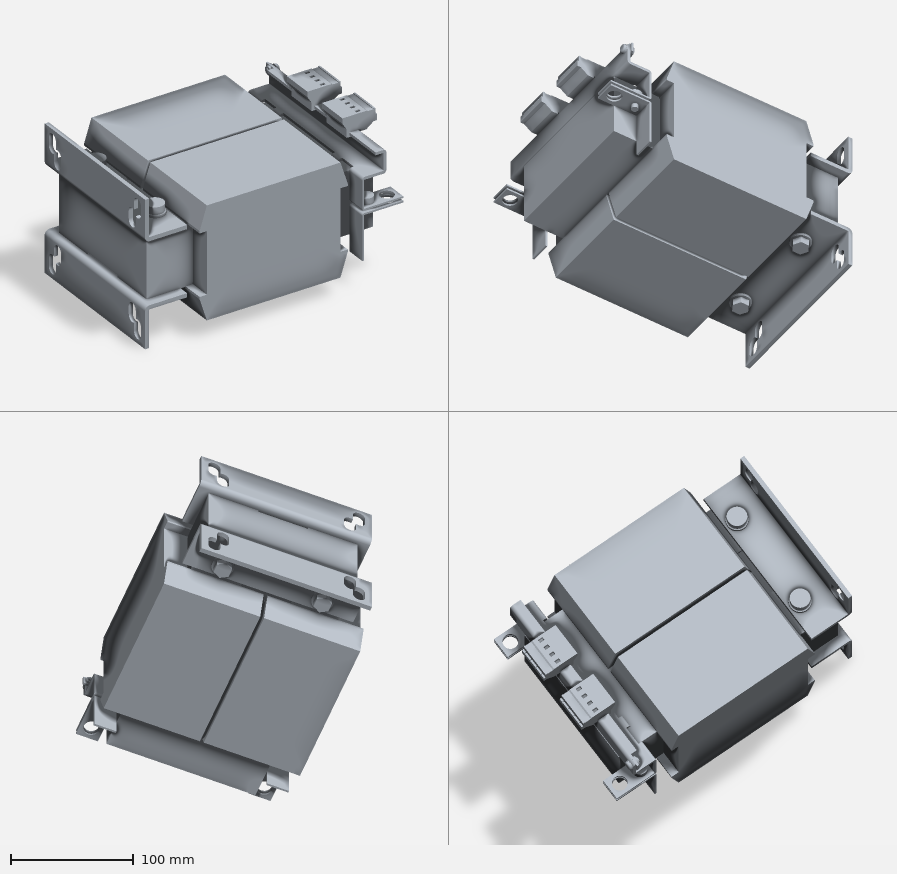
import cadquery as cq


coil_half_width = 86.4
coil_half_gap = 1.7
coil_half_height = 54.0
coil_half_length = 65.0
flange_half_length = 72.0
flange_bottom = 29.8
flange_edge = 2.2

core_half_width = 65.6
core_half_length = 110.0
core_half_height = 28.0
yoke_inner = 65.6
leg_width = 2 * core_half_width / 3
pad_thickness = 2.0
clamp_height = core_half_height + pad_thickness

angle_half_width = 75.2
angle_front = -117.5
angle_back = -76.9
angle_top = 70.0
angle_sheet = 4.0
angle_bend = 4.5
slot_width = 10.5
slot_length = 18.3
outer_slot = (63.7, 56.5)
inner_slot = (55.9, 44.7)

clamp_bolt_x = 44.0
clamp_bolt_y = -87.8
clamp_washer = (18.5, 2.5)
clamp_spring_ring = (16.0, 1.7)
clamp_head = (16.8, 5.5)
clamp_nut = (15.1, 6.0)

rail_half_width = 85.6
rail_back = core_half_length
rail_sheet = 2.7
rail_bottom = clamp_height
rail_top = 52.2
rail_front = 90.8
rail_lip_front = 99.5
rail_lip_left = -76.1
rail_bend = 3.2
rail_front_bend = 3.0
bend_tab_x = 44.0
bend_tab_width = 10.7

lug_sheet = 1.7
lug_front = 86.5
lug_back = 126.5
lug_half_gap = 1.2
lug_inner_x = 66.4
lug_bottom = -45.6
lug_bend = 2.0
lug_hole_x = 76.1
lug_hole_y = 116.6
lug_hole_diameter = 13.0
lug_bolt_y = 96.6
lug_bolt_diameter = 6.0
lug_bolt_bottom = -7.3
lug_head_diameter = 13.0
lug_head_top = 9.0

earth_x = -81.7
earth_z = 47.8
earth_plate = (11.7, 9.0)
earth_plate_thickness = 2.0
earth_nut = (8.3, 2.0)
earth_shank = (4.5, 5.1)
earth_washer = (8.3, 0.7)
earth_head = (7.8, 2.5)
earth_head_rounding = 1.5

terminal_x = (-21.2, 31.2)
terminal_width = 30.5
terminal_top = 67.5
ledge_back = 126.5
ledge_top = 61.7
ledge_depth = 1.7
ledge_bottom = 55.6
marker_back = 123.0
marker_front = 117.4
marker_slope_front = 116.1
marker_floor = 66.9
nose_front = 92.7
nose_bottom = 62.5
foot_front = 96.9
foot_top = 55.9
hook_back = 103.0
hook_bottom = 48.0
heel_back = 116.0
heel_bottom = 50.3
poles_per_block = 4
window_spacing = 7.5
window_width = 3.0
window_length = 4.5
window_depth = 2.5
window_y = 109.8
notch_width = 1.0
notch_depth = 1.2


def box(x_range, y_range, z_range):
    """Box between the two ends given along each axis."""
    x0, x1 = x_range
    y0, y1 = y_range
    z0, z1 = z_range
    return cq.Workplane("XY").box(x1 - x0, y1 - y0, z1 - z0, centered=False).translate((x0, y0, z0))


def side_profile(points, x0, x1):
    """Closed (Y, Z) outline extruded from x0 to x1."""
    return cq.Workplane("YZ").polyline(points).close().extrude(x1 - x0).translate((x0, 0, 0))


def disc(x, y, z, diameter, height):
    """Upright cylinder standing on height z."""
    return cq.Workplane("XY").center(x, y).circle(diameter / 2).extrude(height).translate((0, 0, z))


def mirrored(shape, plane):
    """Shape joined with its mirror image."""
    return shape.union(shape.mirror(plane))


def coils():
    """Two coils with flared end flanges, mirrored from a quarter section."""
    quarter = [
        (coil_half_length, 0),
        (coil_half_length, flange_bottom),
        (flange_half_length, flange_bottom),
        (flange_half_length, flange_bottom + flange_edge),
        (coil_half_length, coil_half_height),
    ]
    back = quarter + [(0, coil_half_height), (0, 0)]
    section = side_profile(back, coil_half_gap, coil_half_width)
    return mirrored(mirrored(mirrored(section, "XZ"), "XY"), "YZ")


def core():
    """Two yokes and two legs; pads fill the back yoke and the outer thirds of the front yoke."""
    wide = (-core_half_width, core_half_width)
    right_third = (core_half_width - leg_width, core_half_width)
    tall = (-core_half_height, core_half_height)
    back = (yoke_inner, core_half_length)
    front = (-core_half_length, -yoke_inner)
    padded = (-clamp_height, clamp_height)
    back_yoke = box(wide, back, padded)
    front_yoke = box(wide, front, tall)
    leg = box(right_third, (-yoke_inner, yoke_inner), tall)
    front_pads = box(right_third, front, padded)
    return back_yoke.union(front_yoke).union(mirrored(leg.union(front_pads), "YZ"))


def slot_cutter(x, z):
    """Upright slot through the angle's mounting face."""
    return (
        cq.Workplane("XZ", origin=(x, angle_front, z))
        .slot2D(slot_length, slot_width, 90)
        .extrude(2 * angle_sheet, both=True)
    )


def front_angle():
    """Upper L-shaped angle with a pair of overlapping slots near each end."""
    outline = [
        (angle_back, clamp_height),
        (angle_front, clamp_height),
        (angle_front, angle_top),
        (angle_front + angle_sheet, angle_top),
        (angle_front + angle_sheet, clamp_height + angle_sheet),
        (angle_back, clamp_height + angle_sheet),
    ]
    angle = side_profile(outline, -angle_half_width, angle_half_width)
    angle = angle.edges("|X and <Y and <Z").fillet(angle_bend)
    inner_corner = (0, angle_front + angle_sheet, clamp_height + angle_sheet)
    angle = angle.edges(cq.NearestToPointSelector(inner_corner)).fillet(angle_bend - angle_sheet)
    for side in (-1, 1):
        for x, z in (outer_slot, inner_slot):
            angle = angle.cut(slot_cutter(side * x, z))
    return angle


def bolt_stack(x):
    """Washer, spring ring and head above the upper angle; washer, ring and nut below the lower."""
    seat = clamp_height + angle_sheet
    ring_seat = seat + clamp_washer[1]
    end_seat = ring_seat + clamp_spring_ring[1]
    washer = disc(x, clamp_bolt_y, seat, *clamp_washer)
    ring = disc(x, clamp_bolt_y, ring_seat, *clamp_spring_ring)
    washers = washer.union(ring)
    head = disc(x, clamp_bolt_y, end_seat, *clamp_head)
    nut_size, nut_height = clamp_nut
    nut = (
        cq.Workplane("XY", origin=(x, clamp_bolt_y, -ring_seat))
        .transformed(rotate=(0, 0, 90))
        .polygon(6, nut_size)
        .extrude(-nut_height)
    )
    return head.union(washers).union(washer.mirror("XY")).union(nut)


def rail():
    """Bent terminal rail with a top lip and two short bends on its front edge."""
    outline = [
        (rail_front, rail_bottom),
        (rail_back, rail_bottom),
        (rail_back, rail_top),
        (rail_lip_front, rail_top),
        (rail_lip_front, rail_top - rail_sheet),
        (rail_back - rail_sheet, rail_top - rail_sheet),
        (rail_back - rail_sheet, rail_bottom + rail_sheet),
        (rail_front, rail_bottom + rail_sheet),
    ]
    body = side_profile(outline, -rail_half_width, rail_half_width)
    body = body.edges("|X and >Y").fillet(rail_bend)
    inner_corner = (0, rail_back - rail_sheet, rail_bottom + rail_sheet)
    body = body.edges(cq.NearestToPointSelector(inner_corner)).fillet(rail_bend - rail_sheet)
    lip_cut = box(
        (-rail_half_width, rail_lip_left),
        (rail_lip_front, rail_back - rail_sheet),
        (rail_top - rail_sheet, rail_top),
    )
    body = body.cut(lip_cut)
    tab = box(
        (bend_tab_x - bend_tab_width / 2, bend_tab_x + bend_tab_width / 2),
        (lug_front, rail_front),
        (core_half_height, rail_bottom + rail_sheet),
    )
    tab = tab.edges("|X and <Y and >Z").fillet(rail_front_bend)
    return body.union(mirrored(tab, "YZ"))


def lug(end_z, level):
    """Upright plate reaching end_z, bent into a flat tab that faces the mid-plane at level."""
    flat_z = level + lug_sheet if level > 0 else level - lug_sheet
    outline = [
        (lug_front, end_z),
        (lug_front, level),
        (lug_back, level),
        (lug_back, flat_z),
        (lug_front + lug_sheet, flat_z),
        (lug_front + lug_sheet, end_z),
    ]
    plate = side_profile(outline, lug_inner_x, rail_half_width)
    bend_edge = "|X and <Y and <Z" if level > 0 else "|X and <Y and >Z"
    plate = plate.edges(bend_edge).fillet(lug_bend)
    hole = disc(lug_hole_x, lug_hole_y, level - lug_sheet, lug_hole_diameter, 2 * lug_sheet)
    return plate.cut(hole)


def lugs():
    """Upper and lower lugs on both sides, bolted together through their tabs."""
    sheet_top = rail_bottom + rail_sheet
    rail_joint = box(
        (lug_inner_x, rail_half_width),
        (lug_front, rail_front),
        (rail_bottom, sheet_top),
    )
    upper = lug(sheet_top, lug_half_gap).union(rail_joint)
    upper = upper.edges("|X and <Y and >Z").fillet(rail_front_bend)
    lower = lug(lug_bottom, -lug_half_gap)
    head_seat = lug_half_gap + lug_sheet
    shank = disc(lug_hole_x, lug_bolt_y, lug_bolt_bottom, lug_bolt_diameter, head_seat - lug_bolt_bottom)
    head = disc(lug_hole_x, lug_bolt_y, head_seat, lug_head_diameter, lug_head_top - head_seat)
    return mirrored(upper.union(lower).union(shank).union(head), "YZ")


def earth_screw():
    """Screw through the rail: square plate and nut in front, washer and domed head behind."""
    front_face = rail_back - rail_sheet
    plane = cq.Workplane("XZ", origin=(earth_x, front_face, earth_z))
    plate = plane.rect(*earth_plate).extrude(earth_plate_thickness)
    nut_diameter, nut_height = earth_nut
    nut = plane.circle(nut_diameter / 2).extrude(earth_plate_thickness + nut_height)
    shank_diameter, shank_length = earth_shank
    shank = plane.circle(shank_diameter / 2).extrude(shank_length)
    washer_diameter, washer_height = earth_washer
    back_plane = cq.Workplane("XZ", origin=(earth_x, rail_back, earth_z))
    washer = back_plane.circle(washer_diameter / 2).extrude(-washer_height)
    head_diameter, head_height = earth_head
    head = back_plane.circle(head_diameter / 2).extrude(-washer_height - head_height)
    head = head.faces(">Y").edges().fillet(earth_head_rounding)
    return plate.union(nut).union(shank).union(washer).union(head)


def terminal_block(x):
    """Block seated on the rail lip, with a window and a ledge notch for each pole."""
    outline = [
        (ledge_back, ledge_top),
        (ledge_back - ledge_depth, ledge_top),
        (ledge_back - ledge_depth, terminal_top),
        (marker_back, terminal_top),
        (marker_back, marker_floor),
        (marker_front, marker_floor),
        (marker_slope_front, terminal_top),
        (nose_front, terminal_top),
        (nose_front, nose_bottom),
        (foot_front, foot_top),
        (foot_front, hook_bottom),
        (hook_back, hook_bottom),
        (hook_back, rail_top - rail_sheet),
        (rail_lip_front, rail_top - rail_sheet),
        (rail_lip_front, rail_top),
        (rail_back, rail_top),
        (rail_back, heel_bottom),
        (heel_back, heel_bottom),
        (marker_back, ledge_bottom),
        (ledge_back, ledge_bottom),
    ]
    block = side_profile(outline, x - terminal_width / 2, x + terminal_width / 2)
    for pole in range(poles_per_block):
        pole_x = x + (pole - (poles_per_block - 1) / 2) * window_spacing
        window = box(
            (pole_x - window_width / 2, pole_x + window_width / 2),
            (window_y - window_length / 2, window_y + window_length / 2),
            (terminal_top - window_depth, terminal_top),
        )
        notch = box(
            (pole_x - notch_width / 2, pole_x + notch_width / 2),
            (ledge_back - ledge_depth, ledge_back),
            (ledge_top - notch_depth, ledge_top),
        )
        block = block.cut(window).cut(notch)
    return block


result = core().union(coils())
result = result.union(mirrored(front_angle(), "XY"))
for bolt_x in (-clamp_bolt_x, clamp_bolt_x):
    result = result.union(bolt_stack(bolt_x))
result = result.union(rail()).union(lugs()).union(earth_screw())
for block_x in terminal_x:
    result = result.union(terminal_block(block_x))